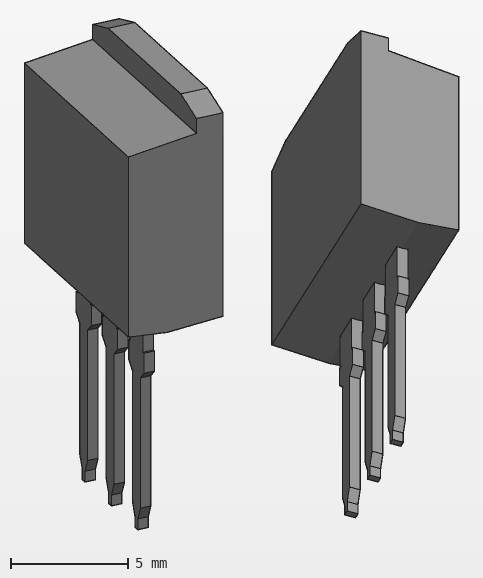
import cadquery as cq

width = 10.01
depth = 4.5
total_height = 20.73
back_y = depth / 2
front_y = -depth / 2
tab_thickness = 1.26
tab_bottom_z = 19.53
tab_corner_z = 20.23
tab_corner_run = 1.51
body_front_top_z = 19.11
body_edge_bottom_z = 10.55
body_ridge_z = 10.36

lead_pitch = 2.54
lead_thickness = 0.5
lead_y = back_y - 2.65
lead_embed = 0.2
neck_half_width = 0.65
shoulder_half_width = 0.75
shank_half_width = 0.4
tip_half_width = 0.15
shoulder_top_z = 8.67
shoulder_bottom_z = 7.71
shank_top_z = 7.34
taper_top_z = 1.15
tip_top_z = 0.52


def make_body():
    """Side profile with a sloped top and a shallow ridge along the bottom."""
    profile = [
        (back_y, body_edge_bottom_z),
        (back_y, tab_bottom_z),
        (back_y - tab_thickness, tab_bottom_z),
        (front_y, body_front_top_z),
        (front_y, body_edge_bottom_z),
        (lead_y, body_ridge_z),
    ]
    return cq.Workplane("YZ").polyline(profile).close().extrude(width / 2, both=True)


def make_tab():
    """Plate along the back of the body with sloped upper corners."""
    half_width = width / 2
    half_top = half_width - tab_corner_run
    outline = [
        (-half_width, tab_bottom_z),
        (half_width, tab_bottom_z),
        (half_width, tab_corner_z),
        (half_top, total_height),
        (-half_top, total_height),
        (-half_width, tab_corner_z),
    ]
    plane = cq.Workplane("XZ", origin=(0, back_y, 0))
    return plane.polyline(outline).close().extrude(tab_thickness)


def make_lead(x):
    """Flat lead with a shoulder and a tapered tip, rooted in the body."""
    right_side = [
        (neck_half_width, body_ridge_z + lead_embed),
        (neck_half_width, shoulder_top_z),
        (shoulder_half_width, shoulder_top_z),
        (shoulder_half_width, shoulder_bottom_z),
        (shank_half_width, shank_top_z),
        (shank_half_width, taper_top_z),
        (tip_half_width, tip_top_z),
        (tip_half_width, 0),
    ]
    left_side = [(-half_width, z) for half_width, z in reversed(right_side)]
    plane = cq.Workplane("XZ", origin=(x, lead_y, 0))
    return plane.polyline(right_side + left_side).close().extrude(lead_thickness / 2, both=True)


result = make_body().union(make_tab())
for position in (-1, 0, 1):
    result = result.union(make_lead(position * lead_pitch))